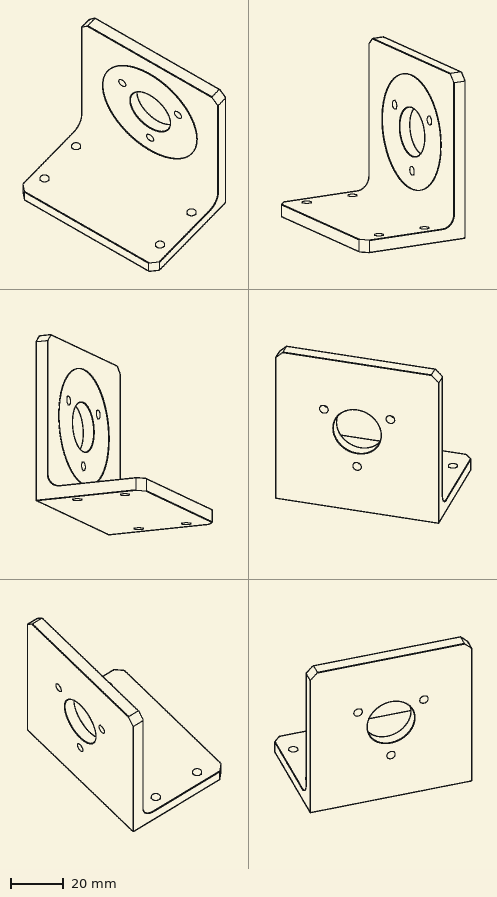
import cadquery as cq

width = 65.0
depth = 45.0
height = 65.0
thickness = 5.0
inner_radius = 5.0
corner_chamfer = 3.0
edge_break = 0.2

mount_height = 35.0
bore_diameter = 19.0
recess_diameter = 44.85
recess_depth = 0.3
mount_hole_count = 3
mount_hole_diameter = 3.4
mount_circle_radius = 15.3

base_hole_diameter = 3.5
base_hole_spacing_x = 54.85
base_hole_spacing_y = 20.0
base_hole_back_distance = 15.0

wall_front = -thickness
base_front = -depth


def make_angle():
    """L-shaped body with a filleted inner corner and all sharp edges broken."""
    body = (
        cq.Workplane("YZ")
        .moveTo(0, 0)
        .lineTo(0, height)
        .lineTo(wall_front, height)
        .lineTo(wall_front, thickness + inner_radius)
        .radiusArc((wall_front - inner_radius, thickness), inner_radius)
        .lineTo(base_front, thickness)
        .lineTo(base_front, 0)
        .close()
        .extrude(width / 2, both=True)
    )
    smooth_lines = cq.selectors.BoxSelector(
        (-width / 4, wall_front - 1.5 * inner_radius, thickness / 2),
        (width / 4, wall_front / 2, thickness + 1.5 * inner_radius),
    )
    return body.edges(cq.selectors.SubtractSelector(cq.selectors.Selector(), smooth_lines)).chamfer(edge_break)


def corner_cutter(plane, side, edge, inward, length):
    """Triangular prism that cuts one plate corner at 45 degrees."""
    corner_x = side * width / 2
    return (
        cq.Workplane(plane)
        .moveTo(corner_x, edge)
        .lineTo(corner_x - side * corner_chamfer, edge)
        .lineTo(corner_x, edge + inward * corner_chamfer)
        .close()
        .extrude(length)
    )


def cut_corners(body):
    """Chamfer the two upper wall corners and the two front base corners."""
    for side in (-1, 1):
        body = body.cut(corner_cutter("XZ", side, height, -1, thickness))
        body = body.cut(corner_cutter("XY", side, base_front, 1, thickness))
    return body


def cut_motor_mount(body):
    """Shallow round seat, through bore with broken edges and screw circle."""
    rear = cq.Workplane("XZ", origin=(0, 0, mount_height))
    seat_y = wall_front + recess_depth
    seat = rear.workplane(offset=-seat_y).circle(recess_diameter / 2).extrude(recess_depth)
    bore_radius = bore_diameter / 2
    bore = (
        cq.Workplane("XY", origin=(0, 0, mount_height))
        .moveTo(0, 0)
        .lineTo(bore_radius + edge_break, 0)
        .lineTo(bore_radius, -edge_break)
        .lineTo(bore_radius, seat_y + edge_break)
        .lineTo(bore_radius + edge_break, seat_y)
        .lineTo(0, seat_y)
        .close()
        .revolve(360, (0, 0, 0), (0, 1, 0))
    )
    holes = (
        rear.polarArray(mount_circle_radius, -90, 360, mount_hole_count)
        .circle(mount_hole_diameter / 2)
        .extrude(thickness)
    )
    return body.cut(seat).cut(bore).cut(holes)


def cut_base_holes(body):
    """Four through holes in a rectangle on the base plate."""
    center_y = -base_hole_back_distance - base_hole_spacing_y / 2
    holes = (
        cq.Workplane("XY", origin=(0, center_y, 0))
        .rarray(base_hole_spacing_x, base_hole_spacing_y, 2, 2)
        .circle(base_hole_diameter / 2)
        .extrude(thickness)
    )
    return body.cut(holes)


bracket = cut_corners(make_angle())
bracket = cut_motor_mount(bracket)
result = cut_base_holes(bracket)